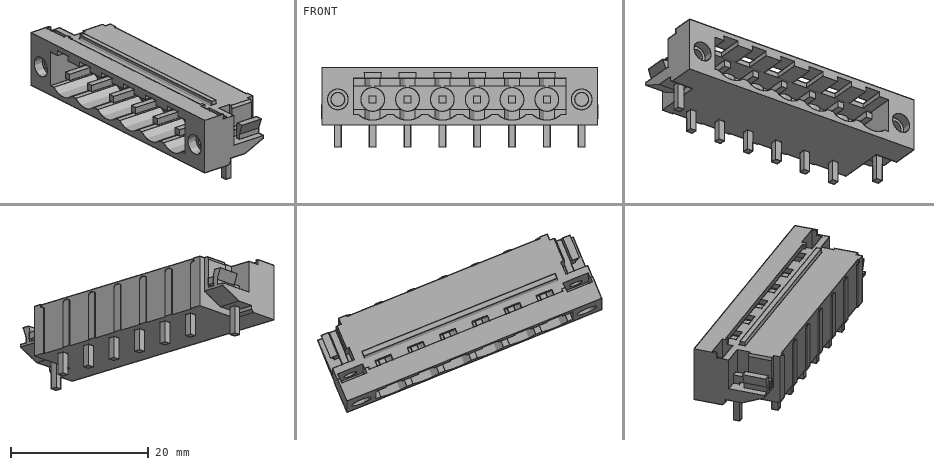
import cadquery as cq
import math

PITCH = 5.08
CONTACT_COUNT = 6
PIN_SIZE = 1.0
PIN_AXIS_Z = 3.75
PIN_FOOT_Z = -3.22
CONTACT_TIP_Y = 0.9
CONTACT_LEG_Y = 9.95
SIDE_PIN_X = (CONTACT_COUNT + 1) * PITCH / 2
SIDE_PIN_BACK_Y = 11.15
contact_xs = [(i - (CONTACT_COUNT - 1) / 2) * PITCH for i in range(CONTACT_COUNT)]
ROW_WIDTH = CONTACT_COUNT * PITCH

OVERALL_WIDTH = 40.3
BLOCK_FRONT_WIDTH = 40.15
BLOCK_DEPTH = 5.45
BODY_WIDTH = 32.85
BODY_DEPTH = 12.0
ROOF_Z = 7.65
RIM_Z = 8.4
RIM_DEPTH = 3.5
RIM_CENTRE_DEPTH = 3.15

RIDGE_FRONT_Y = 5.28
RIDGE_TOP_BACK_Y = 6.05
RIDGE_BASE_BACK_Y = 6.12
RIDGE_FILLET = 0.2
RIDGE_TOP_Z = 8.25

WING_BACK_Y = 11.05
WING_TOP_Z = 2.9
WING_TIP_Z = 2.5
WING_SLOPE_END_Y = 7.57
WING_BOTTOM_Z = 0.95
FOOT_BACK_Y = 4.85
FOOT_CHAMFER = 0.4

HOOK_FRONT_Y = 7.4
CHEEK_BOTTOM_X = 17.3
CHEEK_TOP_X = 17.08
CHEEK_CHAMFER_Z = 7.2
CHEEK_FRONT_X = 16.68

HOOK_TOP_Z = 5.35
HOOK_NECK_Z = 3.7
HOOK_LIP_X = 19.6
HOOK_NECK_X = 19.0
HOOK_INNER_TOP_X = 18.5
HOOK_INNER_FOOT_X = 18.3
HOOK_BEVEL_BOTTOM_Z = 4.67

CAVITY_WIDTH = 31.0
CAVITY_TOP_Z = 6.9
CAVITY_BACK_TOP_Z = 6.75
CAVITY_FLOOR_Z = 1.55
CAVITY_DEPTH = 7.65
SCALLOP_RADIUS = 3.02
KEY_WIDTH = 2.45
KEY_DEPTH = 4.15
KEY_TOP_Z = ROOF_Z

BAND_BOTTOM_Z = 2.25
BAND_TOP_Z = 5.7
BAND_THICKNESS = 0.35
BAND_FRONT_Y = CAVITY_DEPTH - BAND_THICKNESS
BOSS_RADIUS = 1.75
BOSS_FRONT_Y = 7.05
COLUMN_RADIUS = BOSS_RADIUS
COLUMN_WIDTH = 2.18
COLUMN_CENTRE_Y = CAVITY_DEPTH + math.sqrt(COLUMN_RADIUS**2 - (COLUMN_WIDTH / 2) ** 2)

SCREW_HOLE_DIAMETER = 3.02
SCREW_HOLE_DEPTH = 1.5
SCREW_TIP_DIAMETER = 2.0
SCREW_TIP_DEPTH = 5.05
NUT_POCKET_WIDTH = 3.95
NUT_POCKET_FRONT_Y = 2.78
NUT_POCKET_BACK_Y = 4.25
NUT_POCKET_MOUTH_BACK_Y = 4.4
NUT_POCKET_BOTTOM_Z = PIN_AXIS_Z - NUT_POCKET_WIDTH / 2

RELIEF_DEPTH = 0.2
RIB_WIDTH = 1.25
RIB_TOP_Z = 7.25
RIB_TOP_RADIUS = 0.75
rib_xs = [(i - CONTACT_COUNT / 2) * PITCH for i in range(CONTACT_COUNT + 1)]


def box(x_range, y_range, z_range):
    """Axis-aligned box between the given limits."""
    size = [high - low for low, high in (x_range, y_range, z_range)]
    return cq.Workplane("XY").box(*size, centered=False).translate((x_range[0], y_range[0], z_range[0]))


def centred_box(width, y_range, z_range, x=0.0):
    """Box of the given width whose middle lies at x."""
    return box((x - width / 2, x + width / 2), y_range, z_range)


def side_profile(points, width):
    """Outline of (y, z) points extruded along X, symmetric about x = 0."""
    return cq.Workplane("YZ").polyline(points).close().extrude(width / 2, both=True)


def front_profile(points, y_range):
    """Outline of (x, z) points extruded between two Y positions."""
    outline = cq.Workplane("XZ", origin=(0, y_range[0], 0)).polyline(points).close()
    return outline.extrude(y_range[0] - y_range[1])


def y_cylinder(radius, y_range, x):
    """Cylinder along Y on the contact axis height."""
    plane = cq.Workplane("XZ", origin=(x, y_range[0], PIN_AXIS_Z))
    return plane.circle(radius).extrude(y_range[0] - y_range[1])


def both_sides(shape):
    """The shape together with its mirror image across x = 0."""
    return shape.union(shape.mirror("YZ"))


def bent_pin(x, bar_y_range, leg_y):
    """Square pin with a bar along Y and a leg going down at leg_y."""
    half = PIN_SIZE / 2
    bar = centred_box(PIN_SIZE, bar_y_range, (PIN_AXIS_Z - half, PIN_AXIS_Z + half), x)
    leg = centred_box(PIN_SIZE, (leg_y - half, leg_y + half), (PIN_FOOT_Z, PIN_AXIS_Z + half), x)
    return bar.union(leg)


def make_contact(x):
    """Contact that reaches into the plug cavity, with its leg near the rear face."""
    return bent_pin(x, (CONTACT_TIP_Y, CONTACT_LEG_Y + PIN_SIZE / 2), CONTACT_LEG_Y)


def make_side_pin(x):
    """Outer solder pin lying above a wing, with its leg against the block."""
    return bent_pin(x, (BLOCK_DEPTH, SIDE_PIN_BACK_Y), BLOCK_DEPTH + PIN_SIZE / 2)


def make_side_taper():
    """Plan of the block and wings, which widen evenly from the front face to the wing backs."""
    front_x = BLOCK_FRONT_WIDTH / 2
    back_x = OVERALL_WIDTH / 2
    plan = [(-front_x, 0), (front_x, 0), (back_x, WING_BACK_Y), (-back_x, WING_BACK_Y)]
    return cq.Workplane("XY").polyline(plan).close().extrude(RIM_Z)


def make_shell():
    """Front block with its rim, and the rear body with its roof ridge."""
    block = side_profile(
        [
            (0, 0),
            (FOOT_BACK_Y - FOOT_CHAMFER, 0),
            (FOOT_BACK_Y, FOOT_CHAMFER),
            (FOOT_BACK_Y, WING_BOTTOM_Z),
            (BLOCK_DEPTH, WING_BOTTOM_Z),
            (BLOCK_DEPTH, ROOF_Z),
            (RIM_DEPTH, ROOF_Z),
            (RIM_DEPTH, RIM_Z),
            (0, RIM_Z),
        ],
        OVERALL_WIDTH,
    ).intersect(make_side_taper())
    rim_step = centred_box(ROW_WIDTH, (RIM_CENTRE_DEPTH, RIM_DEPTH), (ROOF_Z, RIM_Z))
    body = centred_box(BODY_WIDTH, (RIM_DEPTH, BODY_DEPTH), (0, ROOF_Z))
    return block.cut(rim_step).union(body).union(make_ridge())


def make_ridge():
    """Ridge on the roof with a sloped back and a fillet along the foot of its front."""
    fillet_start_y = RIDGE_FRONT_Y - RIDGE_FILLET
    fillet_end_z = ROOF_Z + RIDGE_FILLET
    fillet_middle = (
        fillet_start_y + RIDGE_FILLET * math.sin(math.pi / 4),
        fillet_end_z - RIDGE_FILLET * math.cos(math.pi / 4),
    )
    return (
        cq.Workplane("YZ")
        .moveTo(fillet_start_y, ROOF_Z)
        .threePointArc(fillet_middle, (RIDGE_FRONT_Y, fillet_end_z))
        .lineTo(RIDGE_FRONT_Y, RIDGE_TOP_Z)
        .lineTo(RIDGE_TOP_BACK_Y, RIDGE_TOP_Z)
        .lineTo(RIDGE_BASE_BACK_Y, ROOF_Z)
        .close()
        .extrude(ROW_WIDTH / 2, both=True)
    )


def make_wings():
    """Wings behind the block, continuing its tapered sides to the full width."""
    return side_profile(
        [
            (FOOT_BACK_Y, WING_BOTTOM_Z),
            (WING_SLOPE_END_Y, WING_BOTTOM_Z),
            (WING_BACK_Y, WING_TIP_Z),
            (WING_BACK_Y, WING_TOP_Z),
            (FOOT_BACK_Y, WING_TOP_Z),
        ],
        OVERALL_WIDTH,
    ).intersect(make_side_taper())


def make_right_cheek():
    """Side wall of the rear body, chamfered along the roof and set back behind the block."""
    cheek = front_profile(
        [
            (0, WING_TIP_Z),
            (CHEEK_BOTTOM_X, WING_TIP_Z),
            (CHEEK_BOTTOM_X, CHEEK_CHAMFER_Z),
            (CHEEK_TOP_X, ROOF_Z),
            (0, ROOF_Z),
        ],
        (HOOK_FRONT_Y, WING_BACK_Y),
    )
    front = box((0, CHEEK_FRONT_X), (BLOCK_DEPTH, HOOK_FRONT_Y), (WING_BOTTOM_Z, ROOF_Z))
    return cheek.union(front)


def make_right_hook():
    """Latch hook standing on the wing, with an undercut outer lip and a bevelled inner edge."""
    return front_profile(
        [
            (HOOK_INNER_FOOT_X, WING_TIP_Z),
            (HOOK_NECK_X, WING_TIP_Z),
            (HOOK_NECK_X, HOOK_NECK_Z),
            (HOOK_LIP_X, HOOK_TOP_Z),
            (HOOK_INNER_TOP_X, HOOK_TOP_Z),
            (HOOK_INNER_FOOT_X, HOOK_BEVEL_BOTTOM_Z),
        ],
        (HOOK_FRONT_Y, WING_BACK_Y),
    )


def make_cavity():
    """Space for the plug, with a band, columns and contact bosses left standing on the back wall."""
    cavity = side_profile(
        [
            (0, CAVITY_FLOOR_Z),
            (CAVITY_DEPTH, CAVITY_FLOOR_Z),
            (CAVITY_DEPTH, CAVITY_BACK_TOP_Z),
            (KEY_DEPTH, CAVITY_TOP_Z),
            (0, CAVITY_TOP_Z),
        ],
        CAVITY_WIDTH,
    )
    below_axis = centred_box(CAVITY_WIDTH, (0, CAVITY_DEPTH), (0, PIN_AXIS_Z))
    for x in contact_xs:
        scallop = y_cylinder(SCALLOP_RADIUS, (0, CAVITY_DEPTH), x)
        cavity = cavity.union(scallop.intersect(below_axis))
        cavity = cavity.union(centred_box(KEY_WIDTH, (0, KEY_DEPTH), (PIN_AXIS_Z, KEY_TOP_Z), x))
    band = centred_box(CAVITY_WIDTH, (BAND_FRONT_Y, CAVITY_DEPTH), (BAND_BOTTOM_Z, BAND_TOP_Z))
    cavity = cavity.cut(band)
    for x in contact_xs:
        column = cq.Workplane("XY", origin=(x, COLUMN_CENTRE_Y, 0)).circle(COLUMN_RADIUS).extrude(ROOF_Z)
        cavity = cavity.cut(column).cut(y_cylinder(BOSS_RADIUS, (BOSS_FRONT_Y, CAVITY_DEPTH), x))
    return cavity


def make_right_screw_hole():
    """Stepped blind hole crossed by a nut pocket that is open at the top and tapers downwards."""
    wide = y_cylinder(SCREW_HOLE_DIAMETER / 2, (0, SCREW_HOLE_DEPTH), SIDE_PIN_X)
    tip = y_cylinder(SCREW_TIP_DIAMETER / 2, (0, SCREW_TIP_DEPTH), SIDE_PIN_X)
    pocket = side_profile(
        [
            (NUT_POCKET_FRONT_Y, NUT_POCKET_BOTTOM_Z),
            (NUT_POCKET_BACK_Y, NUT_POCKET_BOTTOM_Z),
            (NUT_POCKET_MOUTH_BACK_Y, ROOF_Z),
            (NUT_POCKET_MOUTH_BACK_Y, RIM_Z),
            (NUT_POCKET_FRONT_Y, RIM_Z),
        ],
        NUT_POCKET_WIDTH,
    ).translate((SIDE_PIN_X, 0, 0))
    return wide.union(tip).union(pocket)


def make_rear_relief():
    """Shallow recess across the rear face that leaves a round-topped rib beside every contact."""
    half = RIB_WIDTH / 2
    shoulder_z = RIB_TOP_Z - RIB_TOP_RADIUS + math.sqrt(RIB_TOP_RADIUS**2 - half**2)
    relief = centred_box(ROW_WIDTH, (BODY_DEPTH - RELIEF_DEPTH, BODY_DEPTH), (0, ROOF_Z))
    for x in rib_xs:
        rib = (
            cq.Workplane("XZ", origin=(x, BODY_DEPTH, 0))
            .moveTo(-half, 0)
            .lineTo(half, 0)
            .lineTo(half, shoulder_z)
            .threePointArc((0, RIB_TOP_Z), (-half, shoulder_z))
            .close()
            .extrude(RELIEF_DEPTH)
        )
        relief = relief.cut(rib)
    return relief


contacts = [make_contact(x) for x in contact_xs]
side_pins = [make_side_pin(x) for x in (-SIDE_PIN_X, SIDE_PIN_X)]

housing = make_shell().union(make_wings())
for side_part in (make_right_cheek(), make_right_hook()):
    housing = housing.union(both_sides(side_part))
housing = housing.cut(make_cavity()).cut(both_sides(make_right_screw_hole())).cut(make_rear_relief())
for pin in contacts + side_pins:
    housing = housing.cut(pin)

bodies = [housing, *contacts, *side_pins]
result = cq.Compound.makeCompound([body.solids().val() for body in bodies])